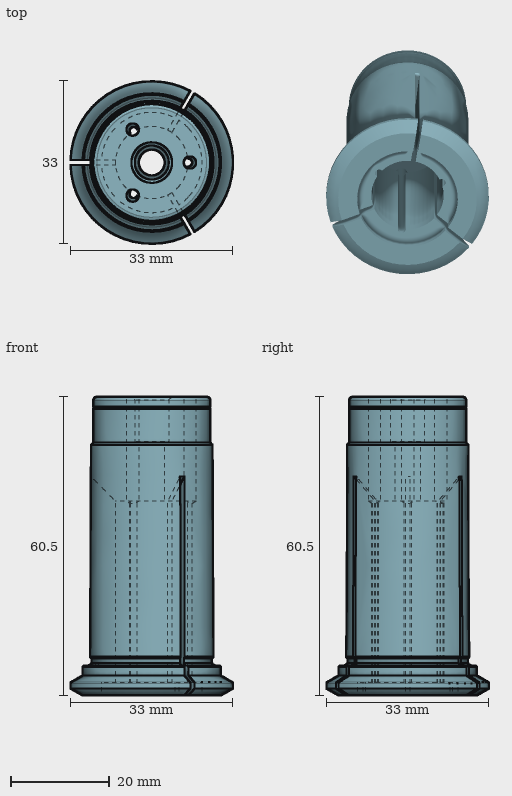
import cadquery as cq
import math

length = 60.5
rim_radius = 33.0 / 2
collar_radius = 14.05
body_base_radius = 12.5
body_top_radius = 12.35
neck_radius = 12.2
nose_radius = 23.8 / 2
nose_face_radius = 22.2 / 2

rim_bottom_z = 1.4
rim_top_z = 2.35
collar_top_z = 6.05
neck_bottom_z = 6.55
neck_top_z = 7.5
body_bottom_z = 7.85
body_top_z = 50.7
nose_bottom_z = 51.2
collar_chamfer = 0.3

rim_edge_rounding = 0.4
flange_slope = math.radians(30)

neck_fillet_outer_radius = 13.05

groove_bottom_z = 58.0
groove_top_z = 58.5
groove_depth = 0.1

bore_radius = 7.3
bore_top_z = 39.3
mouth_radius = 20.4 / 2
mouth_depth = 2.6
center_hole_radius = 5.2 / 2
counterbore_radius = 6.9 / 2
counterbore_depth = 9.1
counterbore_rim_radius = 8.2 / 2

drill_radius = 2.5 / 2
drill_circle_radius = 7.75
drill_tip_length = 0.7
channel_radius = 0.8
channel_circle_radius = 7.4
hole_angles = [0, 120, 240]

slot_width = 0.95
slot_top_z = bore_top_z + body_top_radius - bore_radius
slot_outer_radius = rim_radius + 0.6
slot_angles = [60, 180, 300]


def make_body():
    """Revolve the stepped outer outline."""
    corner = nose_radius - nose_face_radius
    corner_center_z = length - corner
    corner_mid = (
        nose_face_radius + corner * math.sin(math.pi / 4),
        corner_center_z + corner * math.cos(math.pi / 4),
    )
    groove_floor_radius = nose_radius - groove_depth
    groove_middle_z = (groove_bottom_z + groove_top_z) / 2

    edge_center_radius = rim_radius - rim_edge_rounding
    edge_angle = math.pi / 2 - flange_slope
    edge_mid = (
        edge_center_radius + rim_edge_rounding * math.cos(edge_angle / 2),
        rim_top_z + rim_edge_rounding * math.sin(edge_angle / 2),
    )
    edge_end_radius = edge_center_radius + rim_edge_rounding * math.cos(edge_angle)
    edge_end_z = rim_top_z + rim_edge_rounding * math.sin(edge_angle)
    collar_bottom_z = edge_end_z + (edge_end_radius - collar_radius) * math.tan(flange_slope)

    fillet_width = neck_fillet_outer_radius - neck_radius
    fillet_height = neck_bottom_z - collar_top_z
    fillet_radius = (fillet_width**2 + fillet_height**2) / (2 * fillet_height)
    fillet_half_angle = math.asin(fillet_width / fillet_radius) / 2
    fillet_mid = (
        neck_fillet_outer_radius - fillet_radius * math.sin(fillet_half_angle),
        collar_top_z + fillet_radius * (1 - math.cos(fillet_half_angle)),
    )

    return (
        cq.Workplane("XZ")
        .moveTo(0, 0)
        .lineTo(collar_radius, 0)
        .lineTo(rim_radius, rim_bottom_z)
        .lineTo(rim_radius, rim_top_z)
        .threePointArc(edge_mid, (edge_end_radius, edge_end_z))
        .lineTo(collar_radius, collar_bottom_z)
        .lineTo(collar_radius, collar_top_z - collar_chamfer)
        .lineTo(collar_radius - collar_chamfer, collar_top_z)
        .lineTo(neck_fillet_outer_radius, collar_top_z)
        .threePointArc(fillet_mid, (neck_radius, neck_bottom_z))
        .lineTo(neck_radius, neck_top_z)
        .lineTo(body_base_radius, body_bottom_z)
        .lineTo(body_top_radius, body_top_z)
        .lineTo(nose_radius, nose_bottom_z)
        .lineTo(nose_radius, groove_bottom_z)
        .lineTo(groove_floor_radius, groove_middle_z)
        .lineTo(nose_radius, groove_top_z)
        .lineTo(nose_radius, corner_center_z)
        .threePointArc(corner_mid, (nose_face_radius, length))
        .lineTo(0, length)
        .close()
        .revolve(360, (0, 0, 0), (0, 1, 0))
    )


def make_axial_bore():
    """Revolve the stepped bore that runs along the whole axis."""
    counterbore_chamfer = counterbore_rim_radius - counterbore_radius
    counterbore_floor_z = length - counterbore_depth
    return (
        cq.Workplane("XZ")
        .moveTo(0, 0)
        .lineTo(mouth_radius, 0)
        .lineTo(mouth_radius, mouth_depth)
        .lineTo(bore_radius, mouth_depth)
        .lineTo(bore_radius, bore_top_z)
        .lineTo(center_hole_radius, bore_top_z)
        .lineTo(center_hole_radius, counterbore_floor_z)
        .lineTo(counterbore_radius, counterbore_floor_z)
        .lineTo(counterbore_radius, length - counterbore_chamfer)
        .lineTo(counterbore_rim_radius, length)
        .lineTo(0, length)
        .close()
        .revolve(360, (0, 0, 0), (0, 1, 0))
    )


def make_drilled_hole():
    """Drill with a conical tip, plus the wall channel below it, on the +X side."""
    drill = (
        cq.Workplane("XZ")
        .moveTo(0, bore_top_z - drill_tip_length)
        .lineTo(drill_radius, bore_top_z)
        .lineTo(drill_radius, length)
        .lineTo(0, length)
        .close()
        .revolve(360, (0, 0, 0), (0, 1, 0))
        .translate((drill_circle_radius, 0, 0))
    )
    channel = (
        cq.Workplane("XY")
        .center(channel_circle_radius, 0)
        .circle(channel_radius)
        .extrude(bore_top_z)
    )
    return drill.union(channel)


def make_slot():
    """Radial slot on the +X side, reaching from the bore out past the rim."""
    inner_radius = bore_radius - channel_radius
    return (
        cq.Workplane("XZ")
        .moveTo(inner_radius, 0)
        .lineTo(slot_outer_radius, 0)
        .lineTo(slot_outer_radius, slot_top_z)
        .lineTo(body_top_radius, slot_top_z)
        .lineTo(bore_radius, bore_top_z)
        .lineTo(inner_radius, bore_top_z)
        .close()
        .extrude(slot_width / 2, both=True)
    )


def cut_around(part, cutter, angles):
    """Cut one copy of the cutter at each angle about the Z axis."""
    for angle in angles:
        part = part.cut(cutter.rotate((0, 0, 0), (0, 0, 1), angle))
    return part


result = make_body().cut(make_axial_bore())
result = cut_around(result, make_drilled_hole(), hole_angles)
result = cut_around(result, make_slot(), slot_angles)